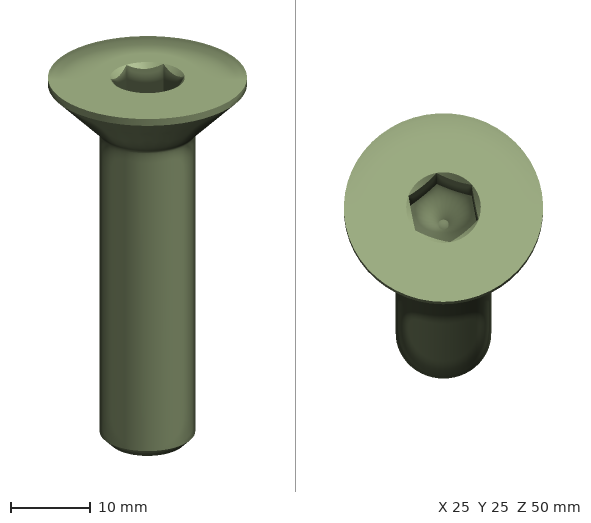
import cadquery as cq
import math

total_length = 50.0
head_diameter = 25.0
shank_diameter = 12.0

rim_height = 0.94
head_half_angle = 45.0
neck_fillet = 0.6

tip_chamfer = 1.2

socket_across_flats = 8.06
socket_depth = 4.25
mouth_diameter = 9.36
mouth_slope = 45.0
floor_flat_diameter = 1.3
floor_slope = 30.0

head_radius = head_diameter / 2
shank_radius = shank_diameter / 2
cone_height = (head_radius - shank_radius) / math.tan(math.radians(head_half_angle))
neck_z = total_length - rim_height - cone_height
socket_across_corners = socket_across_flats / math.cos(math.radians(30))


def cone_frustum(top_diameter, bottom_diameter, slope, top_z):
    """Frustum narrowing downward from top_z at the given slope."""
    top_radius = top_diameter / 2
    bottom_radius = bottom_diameter / 2
    bottom_z = top_z - (top_radius - bottom_radius) * math.tan(math.radians(slope))
    return (
        cq.Workplane("XZ")
        .moveTo(0, top_z)
        .lineTo(top_radius, top_z)
        .lineTo(bottom_radius, bottom_z)
        .lineTo(0, bottom_z)
        .close()
        .revolve(360, (0, 0, 0), (0, 1, 0))
    )


def screw_body():
    """Head and shank turned from one half profile, with a filleted neck."""
    turn = math.radians(head_half_angle)
    fillet_start_z = neck_z - neck_fillet * math.tan(turn / 2)

    def fillet_point(angle):
        """Point on the neck fillet after turning the given angle from the shank wall."""
        x = shank_radius + neck_fillet * (1 - math.cos(angle))
        z = fillet_start_z + neck_fillet * math.sin(angle)
        return x, z

    return (
        cq.Workplane("XZ")
        .moveTo(0, 0)
        .lineTo(shank_radius - tip_chamfer, 0)
        .lineTo(shank_radius, tip_chamfer)
        .lineTo(shank_radius, fillet_start_z)
        .threePointArc(fillet_point(turn / 2), fillet_point(turn))
        .lineTo(head_radius, total_length - rim_height)
        .lineTo(head_radius, total_length)
        .lineTo(0, total_length)
        .close()
        .revolve(360, (0, 0, 0), (0, 1, 0))
    )


def hex_socket():
    """Hex recess, corners along X, with a chamfered mouth and a conical floor."""
    floor_z = total_length - socket_depth
    hexagon = cq.Workplane("XY").polygon(6, socket_across_corners).extrude(total_length)
    bore = cq.Workplane("XY", origin=(0, 0, floor_z)).circle(mouth_diameter / 2).extrude(socket_depth)
    floor = cone_frustum(mouth_diameter, floor_flat_diameter, floor_slope, floor_z)
    mouth = cone_frustum(mouth_diameter, socket_across_flats, mouth_slope, total_length)
    return hexagon.intersect(bore.union(floor)).union(mouth)


result = screw_body().cut(hex_socket())